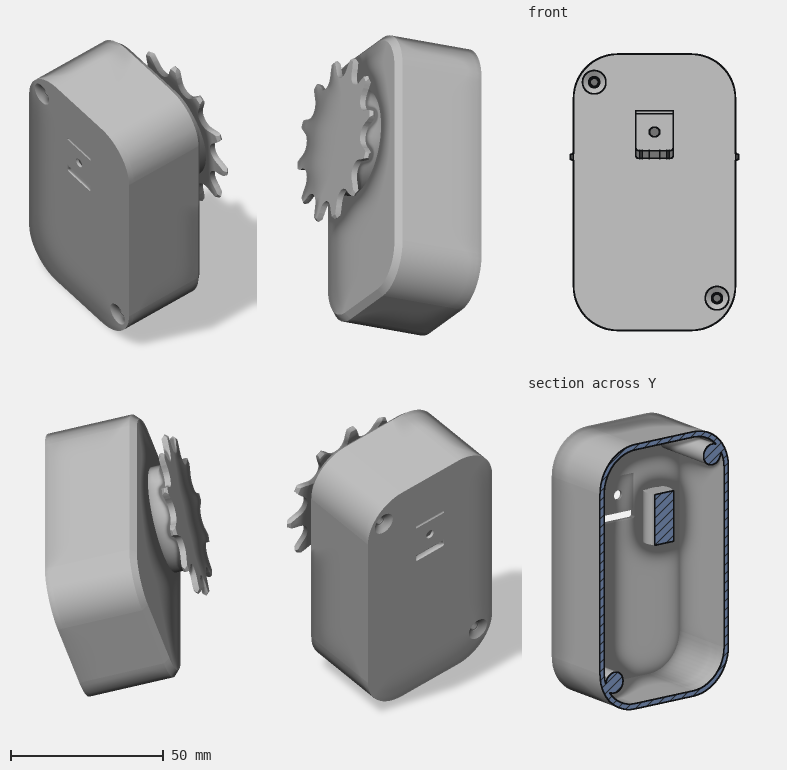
import cadquery as cq
import math

case_width = 53.0
case_height = 90.45
case_depth = 30.8
case_corner_radius = 14.5
cover_thickness = 2.0
wall = 2.0
back_chamfer = 2.0

screw_places = [(-19.7, 36.0), (20.4, -34.6)]
countersink_diameter = 7.7
countersink_depth = 1.7
clearance_diameter = 3.5
pilot_diameter = 2.7
pilot_depth = 9.0
boss_diameter = 7.2

window_width = 12.1
window_top = 26.6
window_bottom = 11.1
window_corner_radius = 0.7
panel_bottom = 13.7
panel_thickness = 1.0
panel_top_chamfer = 0.9
panel_hole_diameter = 3.3
panel_hole_z = 19.7

column_diameter = 9.5
column_flat_width = 8.0
column_rib_width = 3.35
column_rib_height = 0.45
column_stand_off = 4.5

tooth_count = 12
sprocket_z = 11.6
sprocket_diameter = 55.0
sprocket_thickness = 2.0
tip_chamfer = 0.9
pitch_diameter = 49.1
roller_diameter = 8.1
seat_end = (21.9, 2.7)
flank_start = (24.3, 2.0)
flank_end = (25.1, 1.7)
tip_end = (27.5, 0.7)
tip_bulge = 0.1
working_hollow = 0.1

hub_diameter = 35.5
hub_length = 6.5
hub_gap = 1.6
hub_x = -0.2
hub_rise = 0.4
hub_z = sprocket_z + hub_rise

case_back = case_depth
cavity_back = case_back - wall - back_chamfer
hub_front = case_back + hub_gap
sprocket_front = hub_front + hub_length
sprocket_back = sprocket_front + sprocket_thickness


def plane_at(y, z=0.0):
    """Sketch plane at depth y whose normal points to +Y; its local axes are -X and +Z."""
    return cq.Workplane(cq.Plane(origin=(0, y, z), xDir=(-1, 0, 0), normal=(0, 1, 0)))


def rounded_block(width, height, radius, y_front, y_back):
    """Block centred on the Y axis with its four long edges rounded."""
    block = plane_at(y_front).rect(width, height).extrude(y_back - y_front)
    return block.edges("|Y").fillet(radius)


def cylinder_y(diameter, y_front, y_back, x=0.0, z=0.0):
    """Cylinder along Y between two depths."""
    return plane_at(y_front).center(-x, z).circle(diameter / 2).extrude(y_back - y_front)


def block_between(width, z_bottom, z_top, y_front, y_back):
    """Box centred on X = 0."""
    size = (width, y_back - y_front, z_top - z_bottom)
    return cq.Workplane("XY").box(*size, centered=(True, False, False)).translate((0, y_front, z_bottom))


def make_column():
    """Upright post that stands on the cavity back, with a ribbed flat on its front."""
    radius = column_diameter / 2
    axis_y = cavity_back - column_stand_off
    flat_y = axis_y - math.sqrt(radius**2 - (column_flat_width / 2) ** 2)
    bottom = window_bottom - wall
    height = window_top - bottom
    column = cq.Workplane("XY", origin=(0, axis_y, bottom)).circle(radius).extrude(height)
    column = column.cut(block_between(column_diameter, bottom, window_top, axis_y - radius, flat_y))
    rib = block_between(column_rib_width, bottom, window_top, flat_y - column_rib_height, axis_y)
    foot = block_between(column_flat_width, bottom, window_top, axis_y, cavity_back)
    return column.union(rib).union(foot)


def make_housing():
    shell = rounded_block(case_width, case_height, case_corner_radius, cover_thickness, case_back)
    shell = shell.faces(">Y").chamfer(back_chamfer)
    cavity = rounded_block(
        case_width - 2 * wall, case_height - 2 * wall, case_corner_radius - wall, cover_thickness, cavity_back
    )
    shell = shell.cut(cavity)
    for x, z in screw_places:
        shell = shell.union(cylinder_y(boss_diameter, cover_thickness, cavity_back, x, z))
        shell = shell.cut(cylinder_y(pilot_diameter, cover_thickness, cover_thickness + pilot_depth, x, z))
    return shell.union(make_column())


def make_window(z_bottom, depth):
    window = block_between(window_width, z_bottom, window_top, 0, depth)
    return window.edges("|Y and <Z").fillet(window_corner_radius)


def make_countersink(x, z):
    """Cone at the front face, narrowing to the clearance hole."""
    cone = cq.Solid.makeCone(
        countersink_diameter / 2,
        clearance_diameter / 2,
        countersink_depth,
        pnt=cq.Vector(x, 0, z),
        dir=cq.Vector(0, 1, 0),
    )
    return cq.Workplane(cone)


def make_cover():
    cover = rounded_block(case_width, case_height, case_corner_radius, 0, cover_thickness)
    cover = cover.cut(make_window(window_bottom, cover_thickness))
    for x, z in screw_places:
        cover = cover.cut(cylinder_y(clearance_diameter, 0, cover_thickness, x, z))
        cover = cover.cut(make_countersink(x, z))
    return cover


def make_panel():
    panel = make_window(panel_bottom, panel_thickness)
    panel = panel.edges("<Y and >Z").chamfer(panel_top_chamfer)
    return panel.cut(cylinder_y(panel_hole_diameter, 0, panel_thickness, 0, panel_hole_z))


def gap_point(tooth_point):
    """Turn a (radius, half width) of a tooth into (x, z) about the middle of the next gap."""
    along, half_width = tooth_point
    radius = math.hypot(along, half_width)
    angle = math.pi / tooth_count - math.atan2(half_width, along)
    return (radius * math.sin(angle), radius * math.cos(angle))


def bulged_middle(start, end, bulge):
    """Middle of an arc on a tooth flank that bulges out of the tooth by this much."""
    return gap_point(((start[0] + end[0]) / 2, (start[1] + end[1]) / 2 + bulge))


def mirrored(point):
    return (-point[0], point[1])


def make_tooth_gap():
    """Cutter for one gap: roller seat, hollow working arcs, straight flanks and rounded tips."""
    seat = gap_point(seat_end)
    working_middle = bulged_middle(seat_end, flank_start, -working_hollow)
    flank_inner = gap_point(flank_start)
    flank_outer = gap_point(flank_end)
    tip_middle = bulged_middle(flank_end, tip_end, tip_bulge)
    tip = gap_point(tip_end)
    gap_bottom = (0, (pitch_diameter - roller_diameter) / 2)
    beyond_rim = (0, sprocket_diameter)
    return (
        plane_at(sprocket_front, sprocket_z)
        .moveTo(*mirrored(seat))
        .threePointArc(gap_bottom, seat)
        .threePointArc(working_middle, flank_inner)
        .lineTo(*flank_outer)
        .threePointArc(tip_middle, tip)
        .lineTo(*beyond_rim)
        .lineTo(*mirrored(tip))
        .threePointArc(mirrored(tip_middle), mirrored(flank_outer))
        .lineTo(*mirrored(flank_inner))
        .threePointArc(mirrored(working_middle), mirrored(seat))
        .close()
        .extrude(sprocket_thickness)
    )


def make_sprocket():
    disc = cylinder_y(sprocket_diameter, sprocket_front, sprocket_back, 0, sprocket_z)
    sprocket = disc.edges("%CIRCLE").chamfer(tip_chamfer)
    gap = make_tooth_gap()
    for i in range(tooth_count):
        angle = (i + 0.5) * 360 / tooth_count
        sprocket = sprocket.cut(gap.rotate((0, 0, sprocket_z), (0, 1, sprocket_z), angle))
    return sprocket


def make_hub():
    return cylinder_y(hub_diameter, hub_front, sprocket_front, hub_x, hub_z)


housing = make_housing()
cover = make_cover()
panel = make_panel()
sprocket = make_sprocket()
hub = make_hub()

result = cq.Compound.makeCompound(
    [housing.val(), cover.val(), panel.val(), sprocket.val(), hub.val()]
)